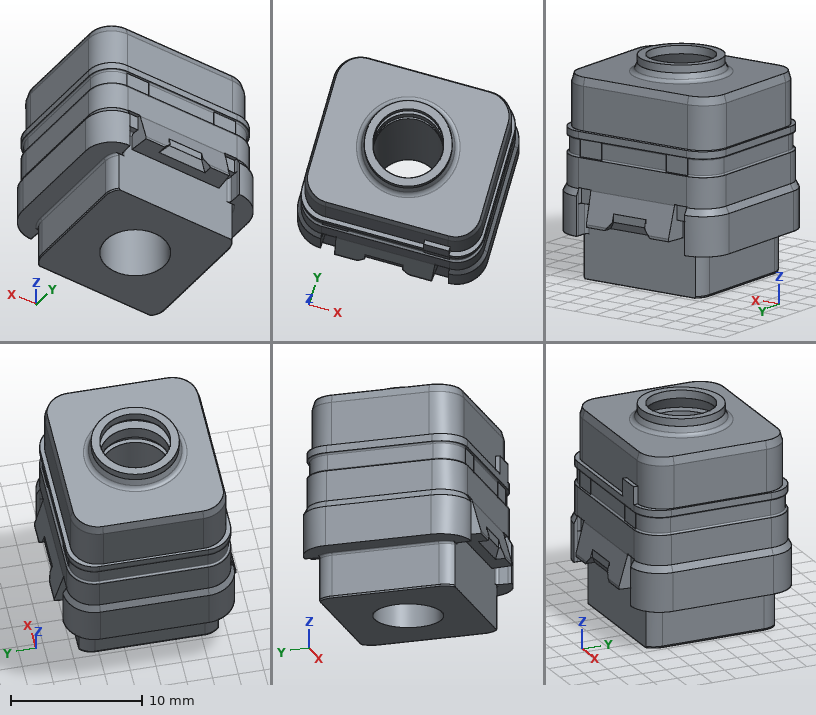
import cadquery as cq

skirt_bottom = 3.6
skirt_top = 6.78
band_bottom = 7.32
groove_bottom = 9.78
groove_top = 11.24
rim_top = 11.83
tab_top = 13.28
cap_edge = 15.35
cap_top = 16.0
neck_fillet_top = 16.26
neck_cone_top = 16.72
total_height = 17.34

overall_width = 15.0
band_half_x = 7.21
band_half_y = 6.38
band_corner = 2.15
skirt_flare_size = overall_width / 2 - band_half_x
cap_inset_x = 0.2
cap_inset_y = 0.35
cap_corner = 2.13
cap_taper = 0.19

groove_depth = 0.19
groove_fillet = 0.12
pad_depth = 0.15
pad_inner_x = 3.02
pad_outer_x = 5.03

plug_half_x = 5.7
plug_round_half_y = 5.86
plug_corner = 1.58
plug_flat_y = 5.43
plug_fillet = 0.17
plug_chamfer_height = 0.14
plug_chamfer_width = 0.05

window_outer_x = 5.06
window_inner_x = 5.01
window_top = 7.39
window_step = 6.12
window_step_y = 6.1
window_fillet = 0.26

latch_tip_y = 7.07
latch_bottom = 4.6
latch_lip_top = 4.8
latch_root_x = 4.02
latch_tip_x = 3.85
notch_y = 6.76
notch_top = 5.93
notch_bend = 5.27
notch_top_x = 1.5
notch_bottom_x = 2.12
notch_undercut = 0.45

neck_radius = 3.36
neck_cone_radius = 3.57
neck_foot_radius = 3.95
neck_fillet_middle = (3.73, 16.1)
bore_radius = 2.7
lip_bottom = 16.68
upper_groove_radius = 3.47
upper_groove_bottom = 15.64
lower_groove_radius = 3.07
lower_groove_top = 14.6
lower_groove_bottom = 13.98

clearance = 0.87
overlap = 0.17


def rounded_block(half_x, half_y, corner, bottom, top):
    """Upright block with rounded vertical edges."""
    block = cq.Workplane("XY").workplane(offset=bottom).rect(2 * half_x, 2 * half_y).extrude(top - bottom)
    return block.edges("|Z").fillet(corner)


def box(x_range, y_range, z_range):
    """Box between two limits on each axis."""
    size = [high - low for low, high in (x_range, y_range, z_range)]
    corner = (x_range[0], y_range[0], z_range[0])
    return cq.Workplane("XY").box(*size, centered=False).translate(corner)


def edges_at_level(half_x, half_y, level):
    """Selector for the edges at one height that lie within a rectangle around the Z axis."""
    margin = 0.02
    low_corner = (-half_x - margin, -half_y - margin, level - margin)
    high_corner = (half_x + margin, half_y + margin, level + margin)
    return cq.selectors.BoxSelector(low_corner, high_corner, boundingbox=True)


def front_and_back(shape):
    """Join a shape at the front with its copy turned to the back."""
    return shape.union(shape.rotate((0, 0, 0), (0, 0, 1), 180))


def make_cap():
    """Upper part of the housing with a tapered top edge."""
    half_x = band_half_x - cap_inset_x
    half_y = band_half_y - cap_inset_y
    cap = rounded_block(half_x, half_y, cap_corner, groove_top, cap_top)
    return cap.faces(">Z").edges().chamfer(cap_top - cap_edge, cap_taper)


def make_band():
    """Main band with the seal groove and the rim above it."""
    band = rounded_block(band_half_x, band_half_y, band_corner, skirt_bottom, groove_bottom)
    core = rounded_block(
        band_half_x - groove_depth,
        band_half_y - groove_depth,
        band_corner - groove_depth,
        groove_bottom,
        groove_top,
    )
    rim = rounded_block(band_half_x, band_half_y, band_corner, groove_top, rim_top)
    band = band.union(core).union(rim)
    for level in (groove_bottom, groove_top):
        corner_edges = edges_at_level(band_half_x - groove_depth, band_half_y - groove_depth, level)
        band = band.edges(corner_edges).fillet(groove_fillet)
    return band


def make_skirt():
    """Flared skirt around the lower part of the band."""
    skirt = rounded_block(
        band_half_x + skirt_flare_size,
        band_half_y + skirt_flare_size,
        band_corner + skirt_flare_size,
        skirt_bottom,
        band_bottom,
    )
    return skirt.faces(">Z").edges().chamfer(band_bottom - skirt_top, skirt_flare_size)


def make_plug():
    """Plug with a fillet where it meets the underside of the skirt."""
    plug = rounded_block(plug_half_x, plug_round_half_y, plug_corner, 0, skirt_bottom)
    plug = plug.faces("<Z").edges().chamfer(plug_chamfer_height, plug_chamfer_width)
    collar = rounded_block(band_half_x, band_half_y, band_corner, skirt_bottom, skirt_top)
    plug = plug.union(collar)
    joint = edges_at_level(plug_half_x, plug_round_half_y, skirt_bottom)
    plug = plug.edges(joint).fillet(plug_fillet)
    between_flats = box(
        (-band_half_x, band_half_x),
        (-plug_flat_y, plug_flat_y),
        (0, skirt_top),
    )
    return plug.intersect(between_flats)


def make_window_cutter():
    """Stepped opening in the front of the skirt with slightly drafted sides."""
    outer_y = latch_tip_y + clearance

    def opening(back_y, bottom, top):
        outline = [
            (-window_inner_x, -back_y),
            (window_inner_x, -back_y),
            (window_outer_x, -band_half_y),
            (window_outer_x, -outer_y),
            (-window_outer_x, -outer_y),
            (-window_outer_x, -band_half_y),
        ]
        return cq.Workplane("XY").workplane(offset=bottom).polyline(outline).close().extrude(top - bottom)

    lower = opening(plug_flat_y, skirt_bottom - clearance, window_step)
    lower = lower.faces(">Y").edges("|Z or >Z").fillet(window_fillet)
    return lower.union(opening(window_step_y, window_step - overlap, window_top))


def make_latch_notch():
    """Notch flaring toward the latch bottom, with an undercut lower face."""
    front_outline = [
        (-notch_top_x, notch_top),
        (-notch_top_x, notch_bend),
        (-notch_bottom_x, latch_bottom),
        (notch_bottom_x, latch_bottom),
        (notch_top_x, notch_bend),
        (notch_top_x, notch_top),
    ]
    side_outline = [
        (-notch_y, notch_top),
        (-notch_y, notch_bend),
        (-notch_y + notch_undercut, latch_bottom),
        (-latch_tip_y - clearance, latch_bottom),
        (-latch_tip_y - clearance, notch_top),
    ]
    front_shape = cq.Workplane("XZ").polyline(front_outline).close().extrude(latch_tip_y + clearance)
    side_shape = cq.Workplane("YZ").polyline(side_outline).close().extrude(notch_bottom_x, both=True)
    return front_shape.intersect(side_shape)


def make_latch():
    """Sloped latch in the front window, narrowing toward its tip."""
    side_profile = [
        (-plug_flat_y + overlap, latch_bottom),
        (-latch_tip_y, latch_bottom),
        (-latch_tip_y, latch_lip_top),
        (-band_half_y, band_bottom),
        (-band_half_y, window_top),
        (-plug_flat_y + overlap, window_top),
    ]
    wedge = cq.Workplane("YZ").polyline(side_profile).close().extrude(latch_root_x, both=True)
    plan = [
        (-latch_root_x, -plug_flat_y + overlap),
        (-latch_root_x, -plug_flat_y),
        (-latch_tip_x, -latch_tip_y),
        (latch_tip_x, -latch_tip_y),
        (latch_root_x, -plug_flat_y),
        (latch_root_x, -plug_flat_y + overlap),
    ]
    wedge = wedge.intersect(cq.Workplane("XY").polyline(plan).close().extrude(total_height))
    return wedge.cut(make_latch_notch())


def make_pads():
    """Pads in the seal groove near the corners of the front."""
    y_range = (-band_half_y + pad_depth, -band_half_y + cap_inset_y)
    z_range = (groove_bottom, groove_top)
    right_pad = box((pad_inner_x, pad_outer_x), y_range, z_range)
    return right_pad.union(right_pad.mirror("YZ"))


def make_tab():
    """Key tab above the rim, on the front only."""
    y_range = (-band_half_y, -band_half_y + cap_inset_y + overlap)
    return box((pad_inner_x, pad_outer_x), y_range, (groove_top, tab_top))


def make_neck():
    """Round neck with a conical foot blended into the cap."""
    profile = (
        cq.Workplane("XZ")
        .moveTo(0, cap_edge)
        .lineTo(neck_foot_radius, cap_edge)
        .lineTo(neck_foot_radius, cap_top)
        .threePointArc(neck_fillet_middle, (neck_cone_radius, neck_fillet_top))
        .lineTo(neck_radius, neck_cone_top)
        .lineTo(neck_radius, total_height)
        .lineTo(0, total_height)
        .close()
    )
    return profile.revolve(360, (0, 0, 0), (0, 1, 0))


def make_bore_cutter():
    """Through bore with a tapered groove below the lip and a square groove below that."""
    profile = [
        (0, 0),
        (bore_radius, 0),
        (bore_radius, lower_groove_bottom),
        (lower_groove_radius, lower_groove_bottom),
        (lower_groove_radius, lower_groove_top),
        (bore_radius, lower_groove_top),
        (bore_radius, upper_groove_bottom),
        (upper_groove_radius, upper_groove_bottom),
        (bore_radius, lip_bottom),
        (bore_radius, total_height),
        (0, total_height),
    ]
    return cq.Workplane("XZ").polyline(profile).close().revolve(360, (0, 0, 0), (0, 1, 0))


housing = make_band().union(make_cap()).union(make_skirt())
housing = housing.cut(front_and_back(make_window_cutter()))
housing = housing.union(make_plug()).union(front_and_back(make_latch()))
housing = housing.union(front_and_back(make_pads())).union(make_tab())
result = housing.union(make_neck()).cut(make_bore_cutter())